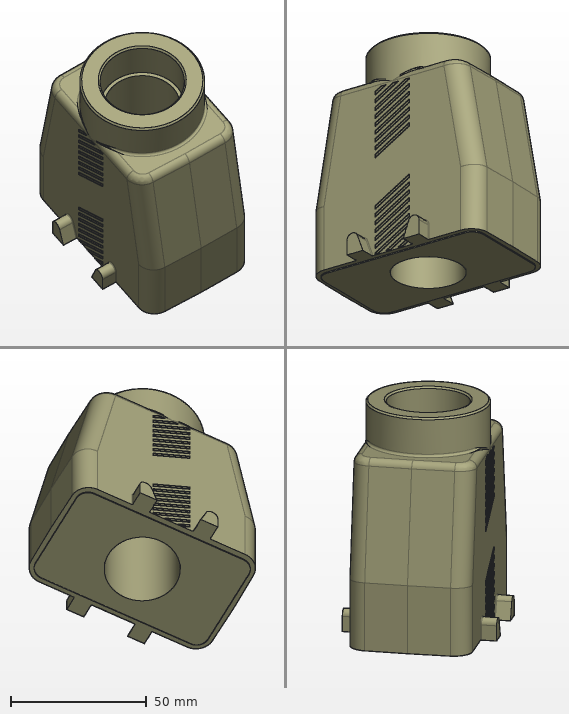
import cadquery as cq
import math

LENGTH = 76.0
WIDTH = 46.0
BODY_BOTTOM = 0.5
BODY_TOP = 72.0
TAPER_START = 26.8
TAPER_ANGLE = 10.0
END_DRAFT = 1.0
CORNER_RADIUS = 7.0
TOP_RADIUS = 3.0

LIP_INSET = 2.1

TOTAL_HEIGHT = 87.0
NECK_DIAMETER = WIDTH
NECK_RIM_CHAMFER = 0.7
NECK_ROOT_RADIUS = 1.0
NECK_ROOT_REACH = 26.0
NECK_ROOT_MARGIN = 0.05
UPPER_BORE = 31.0
UPPER_BORE_CHAMFER = 0.7
UPPER_BORE_DEPTH = 15.0
LOWER_BORE = 28.0

PEG_SPAN = 58.0
PEG_TIP_RADIUS = 2.4
PEG_TIP_X = 13.75
PEG_TIP_Z = 6.4
PEG_FLANK_ANGLE = 20.0
PEG_ROOT_RADIUS = 0.3

BAND_WIDTH = 15.3
BAND_BOTTOM = 0.9
BAND_MARGIN = 0.9
BAND_TOP = BODY_TOP - TOP_RADIUS - BAND_MARGIN
RIB_ANGLE = 30.0
RIB_WIDTH = 1.08
RIB_PITCH = 3.18
RIB_HEIGHT = 0.25
RIB_EMBED = 1.0
RIB_COUNT = 9
RIB_GROUP_OFFSET = 10.4


def tan_deg(angle):
    return math.tan(math.radians(angle))


def make_half_body():
    """-Y half of the body, with rounded upright corners and top edge.

    The front outline is drawn too tall, drafted across Y, then cut to height,
    so the draft leans only the ends and leaves the top and bottom level.
    """
    half_length = LENGTH / 2
    half_width = WIDTH / 2
    overshoot = TOP_RADIUS
    outline_top = BODY_TOP + overshoot
    outline_bottom = BODY_BOTTOM - overshoot
    top_x = half_length - (outline_top - TAPER_START) * tan_deg(TAPER_ANGLE)
    outline = [
        (-half_length, outline_bottom),
        (half_length, outline_bottom),
        (half_length, TAPER_START),
        (top_x, outline_top),
        (-top_x, outline_top),
        (-half_length, TAPER_START),
    ]
    half = cq.Workplane("XZ").polyline(outline).close().extrude(half_width, taper=END_DRAFT)
    height_range = cq.Workplane("XY", origin=(0, 0, BODY_BOTTOM)).rect(2 * LENGTH, 2 * WIDTH)
    half = half.intersect(height_range.extrude(BODY_TOP - BODY_BOTTOM))
    half = half.faces("<Y").edges("not |X").fillet(CORNER_RADIUS)
    return half.faces(">Z").edges("not >Y").fillet(TOP_RADIUS)


def add_pegs(half):
    """Add the two pegs to the -Y half and round their roots."""
    for side in (1, -1):
        half = half.union(make_peg(side))
    reach = PEG_TIP_X + 2 * PEG_TIP_RADIUS
    face_y = -WIDTH / 2
    slack = 0.01
    root_zone = cq.selectors.BoxSelector(
        (-reach, face_y - slack, BODY_BOTTOM + slack),
        (reach, face_y + slack, BODY_BOTTOM + reach),
    )
    return half.edges(root_zone).fillet(PEG_ROOT_RADIUS)


def make_lip():
    """Thin rounded plate under the body, set in from its walls."""
    lip = cq.Workplane("XY").rect(LENGTH - 2 * LIP_INSET, WIDTH - 2 * LIP_INSET).extrude(BODY_BOTTOM)
    return lip.edges("|Z").fillet(CORNER_RADIUS - LIP_INSET)


def make_neck():
    """Round neck, wide enough to run flush into the side faces."""
    neck_base = BODY_TOP - TOP_RADIUS
    neck = (
        cq.Workplane("XY", origin=(0, 0, neck_base))
        .circle(NECK_DIAMETER / 2)
        .extrude(TOTAL_HEIGHT - neck_base)
    )
    return neck.faces(">Z").chamfer(NECK_RIM_CHAMFER)


def make_neck_root():
    """Concave flare at the neck foot that thins out to nothing at the two side faces."""
    neck_radius = NECK_DIAMETER / 2
    root_top = BODY_TOP + NECK_ROOT_RADIUS
    root_bottom = BODY_TOP - TOP_RADIUS
    sag = NECK_ROOT_RADIUS * (1 - math.sqrt(0.5))
    flare = (
        cq.Workplane("XZ")
        .moveTo(0, root_bottom)
        .lineTo(neck_radius + NECK_ROOT_RADIUS, root_bottom)
        .lineTo(neck_radius + NECK_ROOT_RADIUS, BODY_TOP)
        .threePointArc((neck_radius + sag, BODY_TOP + sag), (neck_radius, root_top))
        .lineTo(0, root_top)
        .close()
        .revolve(360, (0, 0, 0), (0, 1, 0))
    )

    reach_y = WIDTH / 2 - NECK_ROOT_MARGIN
    plan_limit = cq.Workplane("XY").ellipse(NECK_ROOT_REACH, reach_y).extrude(TOTAL_HEIGHT)

    edge_start = WIDTH / 2 - TOP_RADIUS
    middle_y = edge_start + (reach_y - edge_start) * math.sqrt(0.5)
    middle_z = root_bottom + (root_top - root_bottom) * math.sqrt(0.5)
    roof = (
        cq.Workplane("YZ")
        .moveTo(-reach_y, root_bottom)
        .lineTo(reach_y, root_bottom)
        .threePointArc((middle_y, middle_z), (edge_start, root_top))
        .lineTo(-edge_start, root_top)
        .threePointArc((-middle_y, middle_z), (-reach_y, root_bottom))
        .close()
        .extrude(LENGTH / 2, both=True)
    )
    return flare.intersect(plan_limit).intersect(roof)


def make_bore():
    """Stepped bore through the neck and body, chamfered at the mouth."""
    mouth = UPPER_BORE / 2 + UPPER_BORE_CHAMFER
    upper = UPPER_BORE / 2
    lower = LOWER_BORE / 2
    ledge = TOTAL_HEIGHT - UPPER_BORE_DEPTH
    section = [
        (0, 0),
        (lower, 0),
        (lower, ledge),
        (upper, ledge),
        (upper, TOTAL_HEIGHT - UPPER_BORE_CHAMFER),
        (mouth, TOTAL_HEIGHT),
        (0, TOTAL_HEIGHT),
    ]
    return cq.Workplane("XZ").polyline(section).close().revolve(360, (0, 0, 0), (0, 1, 0))


def make_peg(side):
    """Peg standing out to -Y at side * X: upright outer flank, round tip, leaning inner flank."""
    angle = math.radians(PEG_FLANK_ANGLE)
    tangent_x = PEG_TIP_X - PEG_TIP_RADIUS * math.cos(angle)
    tangent_z = PEG_TIP_Z + PEG_TIP_RADIUS * math.sin(angle)
    inner_x = tangent_x - (tangent_z - BODY_BOTTOM) * math.tan(angle)
    outer_x = PEG_TIP_X + PEG_TIP_RADIUS
    return (
        cq.Workplane("XZ")
        .moveTo(side * inner_x, BODY_BOTTOM)
        .lineTo(side * outer_x, BODY_BOTTOM)
        .lineTo(side * outer_x, PEG_TIP_Z)
        .threePointArc((side * PEG_TIP_X, PEG_TIP_Z + PEG_TIP_RADIUS), (side * tangent_x, tangent_z))
        .close()
        .extrude(PEG_SPAN / 2)
    )


def make_ribs():
    """Two groups of slanted ribs on the -Y face, above and below the plain middle of the band."""
    band_middle = (BAND_TOP + BAND_BOTTOM) / 2
    band_height = BAND_TOP - BAND_BOTTOM
    face_y = -WIDTH / 2
    depth = RIB_HEIGHT + RIB_EMBED
    centre_y = face_y + RIB_EMBED - depth / 2
    rib_length = 2 * BAND_WIDTH
    ribs = cq.Workplane("XY")
    for direction in (1, -1):
        for index in range(RIB_COUNT):
            rib_z = band_middle + direction * (RIB_GROUP_OFFSET + index * RIB_PITCH)
            bar = cq.Workplane("XY").box(rib_length, depth, RIB_WIDTH)
            bar = bar.rotate((0, 0, 0), (0, 1, 0), -RIB_ANGLE)
            ribs = ribs.add(bar.translate((0, centre_y, rib_z)))
    band = cq.Workplane("XY").box(BAND_WIDTH, depth, band_height).translate((0, centre_y, band_middle))
    return band.intersect(ribs.combine())


half_hood = add_pegs(make_half_body()).union(make_ribs())
hood = half_hood.union(half_hood.rotate((0, 0, 0), (0, 0, 1), 180))
hood = hood.union(make_lip()).union(make_neck()).union(make_neck_root())
result = hood.cut(make_bore())